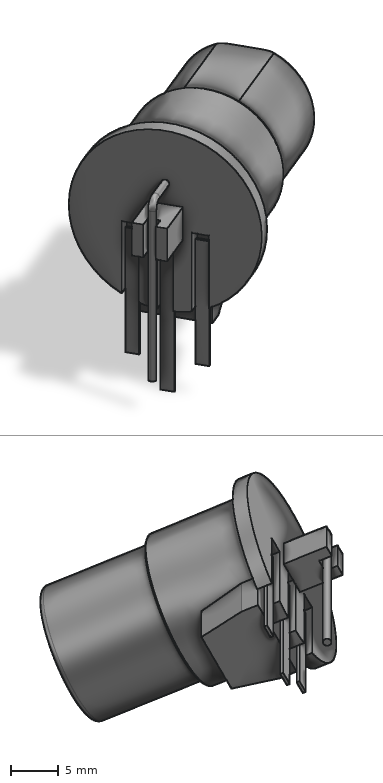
import cadquery as cq


FLANGE_RADIUS = 10.85
FLANGE_THICKNESS = 1.7
AXIS_HEIGHT = 0.5
BARREL_BASE_RADIUS = 8.82
BARREL_END_RADIUS = 8.73
BARREL_END = 13.17
BARREL_EDGE = 0.2
NOSE_RADIUS = 7.77
NOSE_END = 26.08
NOSE_FILLET = 0.55
NOSE_FLAT_HEIGHT = 7.08

FOOT_HALF_WIDTH = 4.7
FOOT_END_HALF_WIDTH = 3.65
FOOT_STRAIGHT_LENGTH = 1.97
FOOT_LENGTH = 7.17
FOOT_BOTTOM = -12.45

SLOT_TOP = -0.95
TERMINAL_TOP = -2.0
TERMINAL_FRONT = 0.65
TERMINAL_THICKNESS = 0.35
SIDE_TERMINAL_SPACING = 3.95
SIDE_TERMINAL_WIDTH = 1.52
SIDE_SLOT_WIDTH = 1.95
SIDE_TERMINAL_BOTTOM = -17.07
CENTER_TERMINAL_WIDTH = 1.6
CENTER_SLOT_WIDTH = 1.8
CENTER_TERMINAL_BOTTOM = FLANGE_RADIUS - 31.73

GUIDE_SIZE = 3.97
GUIDE_LENGTH = 5.05
NOTCH_WIDTH = 1.4
NOTCH_DEPTH = 1.5

WIRE_DIAMETER = 0.9
WIRE_HEIGHT = 4.5
WIRE_REACH = 4.15
WIRE_BEND_RADIUS = 1.0
WIRE_BOTTOM = SIDE_TERMINAL_BOTTOM


def block(x_center, width, y_min, y_max, z_min, z_max):
    """Box centred on x_center, between the given Y and Z limits."""
    box = cq.Workplane("XY").box(width, y_max - y_min, z_max - z_min, centered=(True, False, False))
    return box.translate((x_center, y_min, z_min))


def make_flange():
    return cq.Workplane("XZ").circle(FLANGE_RADIUS).extrude(-FLANGE_THICKNESS)


def make_barrel():
    """Slightly tapered barrel with a chamfered shoulder, turned about its own axis."""
    profile = (
        cq.Workplane("XY")
        .moveTo(0, FLANGE_THICKNESS)
        .lineTo(BARREL_BASE_RADIUS, FLANGE_THICKNESS)
        .lineTo(BARREL_END_RADIUS, BARREL_END - BARREL_EDGE)
        .lineTo(BARREL_END_RADIUS - BARREL_EDGE, BARREL_END)
        .lineTo(0, BARREL_END)
        .close()
    )
    return profile.revolve(360, (0, 0), (0, 1)).translate((0, 0, AXIS_HEIGHT))


def make_nose():
    """Round nose with a filleted end and a flat along its top."""
    nose = (
        cq.Workplane("XZ", origin=(0, BARREL_END, AXIS_HEIGHT))
        .circle(NOSE_RADIUS)
        .extrude(BARREL_END - NOSE_END)
        .faces(">Y")
        .edges()
        .fillet(NOSE_FILLET)
    )
    flat_z = AXIS_HEIGHT + NOSE_FLAT_HEIGHT
    above_flat = block(0, 2 * NOSE_RADIUS, BARREL_END, NOSE_END, flat_z, AXIS_HEIGHT + NOSE_RADIUS)
    return nose.cut(above_flat)


def make_foot():
    """Flat-bottomed foot, straight next to the flange and then narrowing toward the nose."""
    taper_start = FLANGE_THICKNESS + FOOT_STRAIGHT_LENGTH
    foot_end = FLANGE_THICKNESS + FOOT_LENGTH
    return (
        cq.Workplane("XY", origin=(0, 0, FOOT_BOTTOM))
        .moveTo(-FOOT_HALF_WIDTH, FLANGE_THICKNESS)
        .lineTo(FOOT_HALF_WIDTH, FLANGE_THICKNESS)
        .lineTo(FOOT_HALF_WIDTH, taper_start)
        .lineTo(FOOT_END_HALF_WIDTH, foot_end)
        .lineTo(-FOOT_END_HALF_WIDTH, foot_end)
        .lineTo(-FOOT_HALF_WIDTH, taper_start)
        .close()
        .extrude(AXIS_HEIGHT - FOOT_BOTTOM)
    )


def make_slot(x_center, width):
    """Cutter for a slot through the flange, open at its lower rim."""
    return block(x_center, width, 0, FLANGE_THICKNESS, -FLANGE_RADIUS, SLOT_TOP)


def make_housing():
    flange = make_flange().cut(make_slot(0, CENTER_SLOT_WIDTH))
    for side in (-1, 1):
        flange = flange.cut(make_slot(side * SIDE_TERMINAL_SPACING, SIDE_SLOT_WIDTH))
    return flange.union(make_barrel()).union(make_nose()).union(make_foot())


def make_terminal(x_center, width, bottom):
    """Flat terminal hanging down inside its flange slot."""
    terminal_back = TERMINAL_FRONT + TERMINAL_THICKNESS
    return block(x_center, width, TERMINAL_FRONT, terminal_back, bottom, TERMINAL_TOP)


def make_wire_guide():
    """Square block on the rear face, with a vertical notch that the wire runs through."""
    half_size = GUIDE_SIZE / 2
    body = block(0, GUIDE_SIZE, -GUIDE_LENGTH, 0, -half_size, half_size)
    notch = block(0, NOTCH_WIDTH, -GUIDE_LENGTH, NOTCH_DEPTH - GUIDE_LENGTH, -half_size, half_size)
    return body.cut(notch)


def make_wire_pin():
    """Round wire that leaves the flange rearward and bends straight down."""
    path = (
        cq.Workplane("YZ")
        .moveTo(0, WIRE_HEIGHT)
        .lineTo(WIRE_BEND_RADIUS - WIRE_REACH, WIRE_HEIGHT)
        .tangentArcPoint((-WIRE_REACH, WIRE_HEIGHT - WIRE_BEND_RADIUS), relative=False)
        .lineTo(-WIRE_REACH, WIRE_BOTTOM)
    )
    section = cq.Workplane("XZ", origin=(0, 0, WIRE_HEIGHT)).circle(WIRE_DIAMETER / 2)
    return section.sweep(path)


housing = make_housing()
side_terminals = [
    make_terminal(side * SIDE_TERMINAL_SPACING, SIDE_TERMINAL_WIDTH, SIDE_TERMINAL_BOTTOM)
    for side in (-1, 1)
]
center_terminal = make_terminal(0, CENTER_TERMINAL_WIDTH, CENTER_TERMINAL_BOTTOM)
wire_guide = make_wire_guide()
wire_pin = make_wire_pin()

result = cq.Compound.makeCompound([
    housing.solids().val(),
    *[terminal.val() for terminal in side_terminals],
    center_terminal.val(),
    wire_guide.val(),
    wire_pin.val(),
])